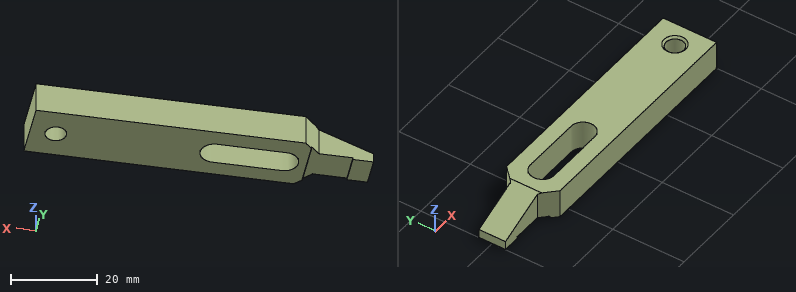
import cadquery as cq

length = 80.0
width = 15.0
height = 8.0

nose_width = width / 2
tip_height = 2.5
ramp_length = 13.6
body_start = 16.6
shoulder_x = body_start - (width - nose_width) / 2

pad_length = 4.9
relief_end = 15.0
relief_depth = 0.5

slot_start = 17.0
slot_length = 23.0
slot_width = 6.6

hole_x = length - 6.1
hole_diameter = 5.0
countersink_diameter = 6.1
countersink_angle = 90


def make_bar():
    """Side profile with ramp and relief, trimmed to the outline seen from above."""
    profile = (
        cq.Workplane("XZ")
        .polyline([
            (0, 0),
            (pad_length, 0),
            (pad_length, relief_depth),
            (relief_end, relief_depth),
            (relief_end, 0),
            (length, 0),
            (length, height),
            (ramp_length, height),
            (0, tip_height),
        ])
        .close()
        .extrude(width / 2, both=True)
    )
    upper_outline = [
        (0, nose_width / 2),
        (shoulder_x, nose_width / 2),
        (body_start, width / 2),
        (length, width / 2),
    ]
    lower_outline = [(x, -y) for x, y in reversed(upper_outline)]
    plan = cq.Workplane("XY").polyline(upper_outline + lower_outline).close().extrude(height)
    return profile.intersect(plan)


def cut_slot(bar):
    slot = (
        cq.Workplane("XY")
        .center(slot_start + slot_length / 2, 0)
        .slot2D(slot_length, slot_width)
        .extrude(height)
    )
    return bar.cut(slot)


def cut_hole(bar):
    return (
        bar.faces(">Z")
        .workplane(origin=(hole_x, 0, height))
        .cskHole(hole_diameter, countersink_diameter, countersink_angle)
    )


result = cut_hole(cut_slot(make_bar()))